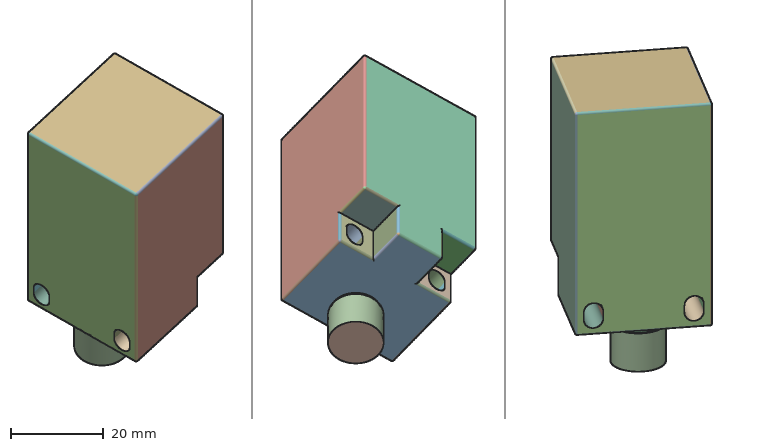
import cadquery as cq

width = 30.0
depth = 30.5
total_height = 62.5
connector_height = 10.0
body_height = total_height - connector_height
edge_radius = 0.5

notch_size = 9.0
selection_margin = 0.05

slot_width = 4.25
slot_length = 5.9
slot_spacing = 22.0
slot_center_z = 4.5

connector_diameter = 12.0
neck_diameter = 11.0
neck_height = 1.0
connector_wall_gap = 1.0
connector_y = -depth / 2 + connector_wall_gap + connector_diameter / 2


def make_housing():
    """Block standing on Z = 0, both back corners notched, all outward edges rounded."""
    block = cq.Workplane("XY").box(width, depth, body_height, centered=(True, True, False))
    inner_edges = []
    for side in (-1, 1):
        notch_center = cq.Vector(side * (width - notch_size) / 2, (depth - notch_size) / 2, notch_size / 2)
        notch = cq.Workplane("XY").box(notch_size, notch_size, notch_size).translate(notch_center)
        block = block.cut(notch)
        nudge = cq.Vector(-side, -1, 1) * selection_margin
        half_size = cq.Vector(1, 1, 1) * (notch_size / 2)
        selection_center = notch_center + nudge
        box = cq.selectors.BoxSelector(
            (selection_center - half_size).toTuple(),
            (selection_center + half_size).toTuple(),
        )
        inner_edges += block.edges(box).vals()
    outward_edges = [
        edge for edge in block.edges().vals()
        if not any(edge.isSame(inner) for inner in inner_edges)
    ]
    return block.newObject(outward_edges).fillet(edge_radius)


def make_slots():
    """Upright slots running through the housing from front to back."""
    return (
        cq.Workplane("XZ", origin=(0, 0, slot_center_z))
        .pushPoints([(-slot_spacing / 2, 0), (slot_spacing / 2, 0)])
        .slot2D(slot_length, slot_width, angle=90)
        .extrude(depth, both=True)
    )


def make_connector():
    """Connector barrel joined to the housing by a narrower neck."""
    base = cq.Workplane("XY", origin=(0, connector_y, 0))
    neck = base.circle(neck_diameter / 2).extrude(-neck_height)
    barrel = (
        base.workplane(offset=-connector_height)
        .circle(connector_diameter / 2)
        .extrude(connector_height - neck_height)
    )
    return neck.union(barrel)


result = make_housing().cut(make_slots()).union(make_connector())